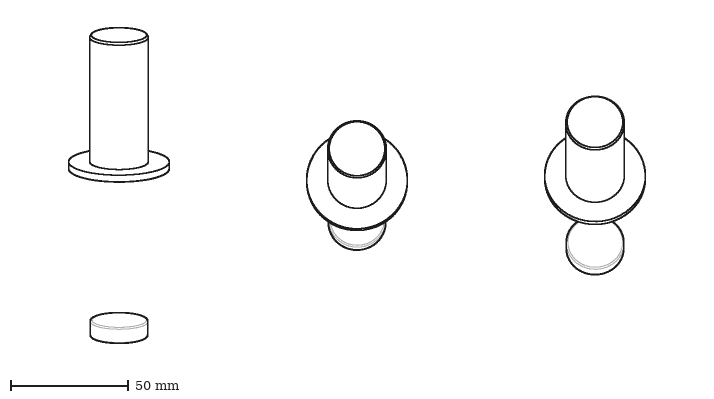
import cadquery as cq

total_height = 133.0

pin_diameter = 25.0
pin_chamfer_height = 1.0
pin_chamfer_inset = 0.7
flange_diameter = 43.0
flange_thickness = 3.0
pin_height = 59.0

disc_diameter = 24.6
disc_thickness = 7.2
disc_rim_radius = 0.7

flange_bottom = total_height - pin_height


def make_headed_pin():
    """Round pin standing on a thin flange, with a chamfered free end."""
    flange = cq.Workplane("XY").circle(flange_diameter / 2).extrude(flange_thickness)
    shank = (
        cq.Workplane("XY")
        .circle(pin_diameter / 2)
        .extrude(pin_height)
        .faces(">Z")
        .chamfer(pin_chamfer_height, pin_chamfer_inset)
    )
    return flange.union(shank).translate((0, 0, flange_bottom))


def make_disc():
    """Short round disc with both rims rounded."""
    disc = cq.Workplane("XY").circle(disc_diameter / 2).extrude(disc_thickness)
    return disc.faces("<Z or >Z").fillet(disc_rim_radius)


headed_pin = make_headed_pin()
disc = make_disc()

result = cq.Compound.makeCompound([headed_pin.val(), disc.val()])